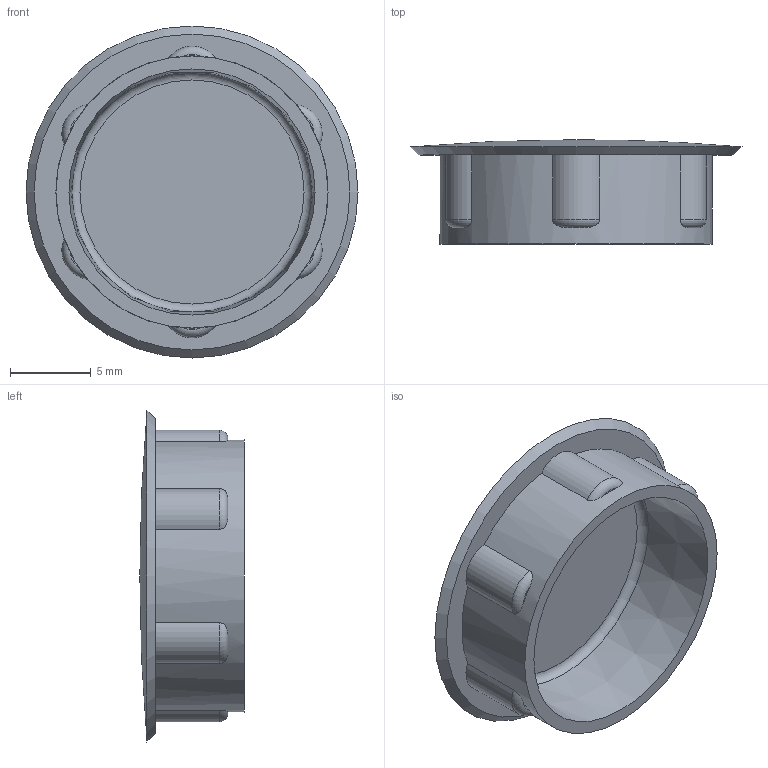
import cadquery as cq


flange_radius = 10.25
flange_thickness = 0.5
flange_bevel = 0.5
crown_height = 0.44

barrel_radius = 8.4
barrel_length = 5.5

mouth_radius = 7.6
floor_corner_radius = 7.4
corner_fillet = 0.5
floor_y = 0.0

rib_count = 6
rib_radius = 1.8
rib_crest_radius = 9.0
rib_length = 4.5
rib_end_fillet = 0.5

AXIS_START = (0, 0, 0)
AXIS_END = (0, 1, 0)


def make_body():
    """Flange with domed crown, and solid barrel, as one revolved profile."""
    rim_y = flange_thickness
    crown_y = rim_y + crown_height
    dome_radius = (flange_radius**2 + crown_height**2) / (2 * crown_height)
    mid_x = flange_radius / 2
    mid_y = crown_y - dome_radius + (dome_radius**2 - mid_x**2) ** 0.5
    profile = (
        cq.Workplane("XY")
        .moveTo(0, -barrel_length)
        .lineTo(barrel_radius, -barrel_length)
        .lineTo(barrel_radius, 0)
        .lineTo(flange_radius - flange_bevel, 0)
        .lineTo(flange_radius, rim_y)
        .threePointArc((mid_x, mid_y), (0, crown_y))
        .close()
    )
    return profile.revolve(360, AXIS_START, AXIS_END)


def make_cavity():
    """Drafted bore with a rounded corner around its flat floor."""
    cone = (
        cq.Workplane("XY")
        .moveTo(0, -barrel_length)
        .lineTo(mouth_radius, -barrel_length)
        .lineTo(floor_corner_radius, floor_y)
        .lineTo(0, floor_y)
        .close()
        .revolve(360, AXIS_START, AXIS_END)
    )
    return cone.faces(">Y").edges().fillet(corner_fillet)


def make_rib(angle):
    """Round rib along the barrel, with a rounded free end."""
    rib_center = rib_crest_radius - rib_radius
    rib = (
        cq.Workplane("XZ")
        .center(0, rib_center)
        .circle(rib_radius)
        .extrude(rib_length)
        .faces("<Y")
        .edges()
        .fillet(rib_end_fillet)
    )
    return rib.rotate(AXIS_START, AXIS_END, angle)


body = make_body()
for index in range(rib_count):
    body = body.union(make_rib(index * 360 / rib_count))

result = body.cut(make_cavity())